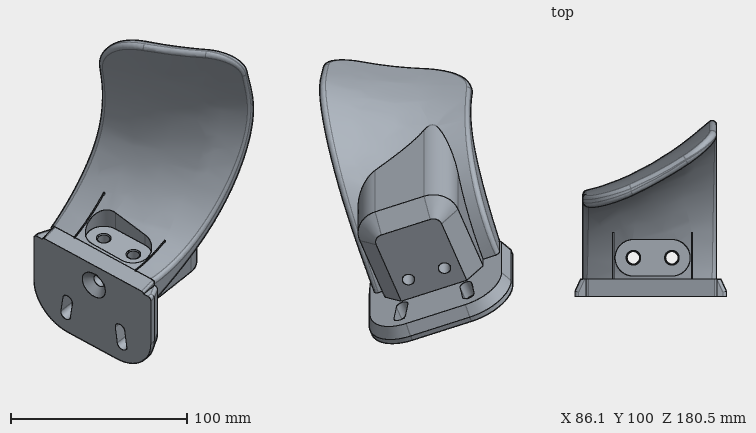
import cadquery as cq
import math

plate_width = 86.1
plate_height = 59.5
plate_thickness = 10.0
plate_rim = 3.0
plate_taper = 25
plate_bottom_radius = 25.0
plate_top_radius = 2.2
middle_x = 1.0

overall_height = 180.5
blade_left = -38.6
blade_right = 37.4
blade_left_radius = 27.5
blade_right_radius = 17.5
blade_edge_radius = 2.5
blade_root_bottom = 45.7
blade_root_top = 62.8
section_x = 39.7
section_top = 184.1

crown_front_height = 60.8
crown_left = -36.8
crown_right = 37.7
crown_base = 56.0
crown_edge_radius = 1.5

block_half_width = 29.8
block_back = 65.3
block_bottom = 28.7
block_top = 122.2
block_corner_radius = 15.0
block_chamfer = 10.0

pocket_width = 20.8
hole_spacing = 21.8
pocket_y = 22.0
pocket_floor = 60.5
pocket_height = 32.5
hole_diameter = 7.0
hole_mouth_diameter = 8.3

slit_width = 0.7
slit_end_y = 36.5
slit_offset = 22.4

pivot_z = 46.0
pivot_diameter = 7.5
pivot_head_diameter = 17.0
slot_width = 7.0
slot_top = (19.3, 23.6)
slot_bottom = (20.8, 12.6)


def plate_blank():
    """Plate with rounded lower corners, tapered sides and bottom, and a flat top."""
    tall = 2 * plate_height
    outline = cq.Sketch().rect(plate_width, tall).vertices().fillet(plate_bottom_radius)
    rim = (
        cq.Workplane("XZ", origin=(0, 0, plate_height))
        .placeSketch(outline)
        .extrude(-plate_rim)
    )
    tapered = (
        cq.Workplane("XZ", origin=(0, plate_rim, plate_height))
        .placeSketch(outline)
        .extrude(plate_rim - plate_thickness, taper=plate_taper)
    )
    top_cut = cq.Workplane("XY", origin=(0, 0, plate_height)).box(
        2 * plate_width, 2 * tall, tall, centered=(True, True, False)
    )
    plate = rim.union(tapered).cut(top_cut)
    return plate.faces(">Z").edges("not |X").fillet(plate_top_radius)


def plate_crown():
    """Low ridge on the plate that continues the blade's upper surface."""
    return (
        cq.Workplane("YZ", origin=(crown_left, 0, 0))
        .moveTo(0, crown_base)
        .lineTo(plate_thickness, crown_base)
        .lineTo(plate_thickness, blade_root_top)
        .lineTo(0, crown_front_height)
        .close()
        .extrude(crown_right - crown_left)
        .faces(">Z").edges("<X or >X").fillet(crown_edge_radius)
    )


def make_plate():
    plate = plate_blank().union(plate_crown())
    plate = plate.cut(pivot_hole())
    for side in (-1, 1):
        plate = plate.cut(adjusting_slot(side))
    return plate


def pivot_hole():
    """Countersunk through hole; the block behind closes its end."""
    head_radius = pivot_head_diameter / 2
    shank_radius = pivot_diameter / 2
    return (
        cq.Workplane("XY", origin=(middle_x, 0, pivot_z))
        .polyline([
            (0, 0),
            (head_radius, 0),
            (shank_radius, head_radius - shank_radius),
            (shank_radius, plate_thickness),
            (0, plate_thickness),
        ])
        .close()
        .revolve(360, (0, 0, 0), (0, 1, 0))
    )


def adjusting_slot(side):
    """Leaning slot; side is -1 or +1 from the middle."""
    run = slot_bottom[0] - slot_top[0]
    drop = slot_top[1] - slot_bottom[1]
    lean = math.degrees(math.atan2(run, drop))
    return (
        cq.Workplane("XZ")
        .center(
            middle_x + side * (slot_top[0] + slot_bottom[0]) / 2,
            (slot_top[1] + slot_bottom[1]) / 2,
        )
        .slot2D(math.hypot(run, drop) + slot_width, slot_width, 90 + side * lean)
        .extrude(-plate_thickness)
    )


root_top = (plate_thickness, blade_root_top)
root_bottom = (plate_thickness, blade_root_bottom)
blade_sections = [
    (
        -section_x,
        [root_top, (34.3, 83), (48.4, 104.7), (52.7, 131.8), (49.8, 155.2), (45.5, section_top)],
        [root_bottom, (36.5, 57.5), (51.3, 78.5), (59.4, 131.8), (56.9, 155.2), (53.5, section_top)],
    ),
    (
        0,
        [root_top, (32.8, 70.8), (57.0, 92.5), (68.8, 131.8), (67.0, 155.2), (61.0, section_top)],
        [root_bottom, (34.3, 59.5), (62.3, 89.3), (75.0, 131.8), (73.6, 155.2), (68.0, section_top)],
    ),
    (
        section_x,
        [root_top, (36.1, 64.5), (65, 78.5), (96.7, 131.8), (93.9, 155.2), (87.2, section_top)],
        [root_bottom, (38.8, 54.1), (76.5, 75.0), (105.4, 131.8), (100.9, 155.2), (94.4, section_top)],
    ),
]


def section_wire(x, front, back):
    front_points = [cq.Vector(x, y, z) for y, z in front]
    back_points = [cq.Vector(x, y, z) for y, z in back]
    return cq.Wire.assembleEdges([
        cq.Edge.makeLine(back_points[0], front_points[0]),
        cq.Edge.makeSpline(front_points),
        cq.Edge.makeLine(front_points[-1], back_points[-1]),
        cq.Edge.makeSpline(list(reversed(back_points))),
    ])


def blade_outline():
    """Blade outline seen along Y: straight sides and two different top corner radii."""
    diagonal = math.sqrt(0.5)
    left_x = blade_left + blade_left_radius
    left_z = overall_height - blade_left_radius
    right_x = blade_right - blade_right_radius
    right_z = overall_height - blade_right_radius
    return (
        cq.Workplane("XZ")
        .moveTo(blade_left, 0)
        .lineTo(blade_left, left_z)
        .threePointArc(
            (left_x - diagonal * blade_left_radius, left_z + diagonal * blade_left_radius),
            (left_x, overall_height),
        )
        .lineTo(right_x, overall_height)
        .threePointArc(
            (right_x + diagonal * blade_right_radius, right_z + diagonal * blade_right_radius),
            (blade_right, right_z),
        )
        .lineTo(blade_right, 0)
        .close()
        .extrude(-overall_height)
    )


def loft_through(wires):
    return cq.Workplane(obj=cq.Solid.makeLoft(wires))


def blade_shell():
    """Blade trimmed to its outline, with every free edge rounded."""
    slab = loft_through([section_wire(*section) for section in blade_sections])
    blade = slab.intersect(blade_outline())
    surface_edges = blade.edges("not %LINE")
    root_edges = blade.faces("<Y").edges()
    free_edges = [edge for edge in surface_edges.vals() if edge not in root_edges.vals()]
    return blade.newObject(free_edges).fillet(blade_edge_radius)


def under_blade_wire(x, front, back):
    """Section of the space behind and below the middle of the blade's thickness."""
    middle_points = [
        cq.Vector(x, (front_y + back_y) / 2, (front_z + back_z) / 2)
        for (front_y, front_z), (back_y, back_z) in zip(front, back)
    ]
    far_y = 2 * block_back
    corners = [
        middle_points[-1],
        cq.Vector(x, far_y, section_top),
        cq.Vector(x, far_y, 0),
        cq.Vector(x, plate_thickness, 0),
        middle_points[0],
    ]
    sides = [cq.Edge.makeLine(start, end) for start, end in zip(corners, corners[1:])]
    return cq.Wire.assembleEdges([cq.Edge.makeSpline(middle_points), *sides])


def support_block():
    """Upright block whose top follows the blade's back surface."""
    column = (
        cq.Workplane("XY", origin=(0, 0, block_bottom))
        .moveTo(middle_x - block_half_width, plate_thickness)
        .lineTo(middle_x - block_half_width, block_back)
        .lineTo(middle_x + block_half_width, block_back)
        .lineTo(middle_x + block_half_width, plate_thickness)
        .close()
        .extrude(block_top - block_bottom)
        .edges("|Z").edges(">Y").fillet(block_corner_radius)
        .faces("<Z").edges("not <Y").chamfer(block_chamfer)
    )
    under_blade = loft_through([under_blade_wire(*section) for section in blade_sections])
    return column.intersect(under_blade)


def pocket():
    return (
        cq.Workplane("XY", origin=(middle_x, pocket_y, pocket_floor))
        .slot2D(hole_spacing + pocket_width, pocket_width)
        .extrude(pocket_height)
    )


def screw_hole(x):
    """Through hole with a small chamfer where it meets the pocket floor."""
    radius = hole_diameter / 2
    mouth_radius = hole_mouth_diameter / 2
    return (
        cq.Workplane("XZ", origin=(x, pocket_y, 0))
        .lineTo(radius, 0)
        .lineTo(radius, pocket_floor - (mouth_radius - radius))
        .lineTo(mouth_radius, pocket_floor)
        .lineTo(0, pocket_floor)
        .close()
        .revolve(360, (0, 0, 0), (0, 1, 0))
    )


def slit(x):
    """Thin slot running back from the plate, as deep as the pocket."""
    length = slit_end_y - plate_thickness
    return cq.Workplane("XY", origin=(x, plate_thickness + length / 2, pocket_floor)).box(
        slit_width, length, pocket_height, centered=(True, True, False)
    )


def make_blade():
    blade = blade_shell().union(support_block()).cut(pocket())
    for side in (-1, 1):
        blade = blade.cut(screw_hole(middle_x + side * hole_spacing / 2))
        blade = blade.cut(slit(middle_x + side * slit_offset))
    return blade


plate = make_plate()
blade = make_blade()
result = cq.Compound.makeCompound([plate.val(), blade.val()])